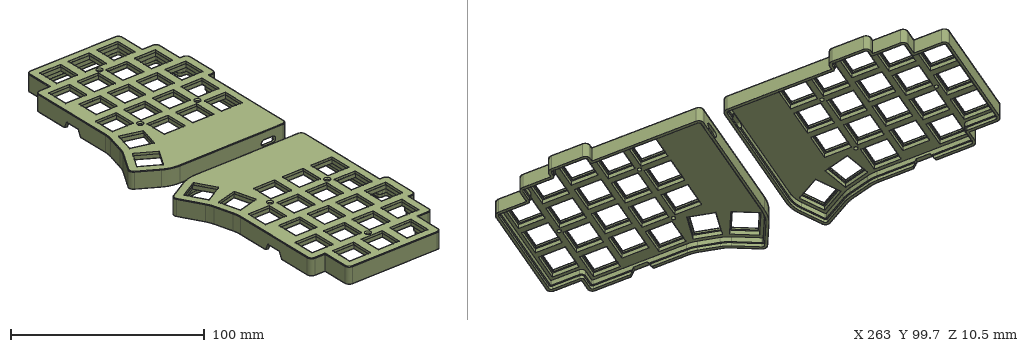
import cadquery as cq
import math

PAIR_WIDTH = 263.0
PAIR_DEPTH = 100.0
CASE_HEIGHT = 10.5

THREE_PITCH_SPAN = 57.0
PITCH = THREE_PITCH_SPAN / 3
KEY_OPENING = 14.0
COLUMN_ROWS = [3, 4, 4, 4, 3]
TALL_STAGGER = PITCH / 4
OUTER_STAGGER = PITCH / 2
EDGE_MARGIN = 2.45
KEY_TO_EDGE = PITCH / 2 + EDGE_MARGIN
INNER_KEY_TO_EDGE = 37.3

THUMB_TURN = -15
FIRST_THUMB_X = 21.3
FIRST_THUMB_Y = -2.5
SECOND_THUMB_X = 40.8
SECOND_THUMB_Y = -10.8

PLATE_THICKNESS = 4.5
CLIP_LIP = 1.5
CLIP_RELIEF = 0.8
WALL = 2.4
REBATE_WALL = 1.5
REBATE_DEPTH = 2.4
TOP_CHAMFER = 0.4
CORNER_RADIUS = 3.0
BEND_RADIUS = 20.0

SLOT_WIDTH = 9.5
SLOT_HEIGHT = 3.7
SLOT_BELOW_BACK = 12.4
SLOT_Z = 3.7

NOTCH_TOP_WIDTH = 9.5
NOTCH_BOTTOM_WIDTH = 13.2
NOTCH_NARROWING = 0.8
NOTCH_HEIGHT = 4.0
NOTCH_X = -82.0

SCREW_DIAMETER = 2.2
SCREW_HEAD_DIAMETER = 3.7
COUNTERSINK_ANGLE = 90
OUTER_SCREW_SHIFT = 0.5

COLUMN_X = [-PAIR_WIDTH / 2 + KEY_TO_EDGE + i * PITCH for i in range(len(COLUMN_ROWS))]
BACK_Y = PAIR_DEPTH / 2
TALL_COLUMN_Y = BACK_Y - KEY_TO_EDGE
MAIN_Y = TALL_COLUMN_Y - TALL_STAGGER
OUTER_Y = MAIN_Y - OUTER_STAGGER
COLUMN_TOP_Y = [OUTER_Y, MAIN_Y, TALL_COLUMN_Y, MAIN_Y, MAIN_Y]
FRONT_KEY_Y = MAIN_Y - (COLUMN_ROWS[3] - 1) * PITCH

FRONT_Y = FRONT_KEY_Y - KEY_TO_EDGE
MAIN_BACK_Y = MAIN_Y + KEY_TO_EDGE
INNER_X = COLUMN_X[4] + INNER_KEY_TO_EDGE

THUMB_KEYS = [
    (COLUMN_X[3] + FIRST_THUMB_X, FRONT_KEY_Y + FIRST_THUMB_Y, THUMB_TURN),
    (COLUMN_X[3] + SECOND_THUMB_X, FRONT_KEY_Y + SECOND_THUMB_Y, 2 * THUMB_TURN),
]


def grid_keys():
    keys = []
    for x, top_y, rows in zip(COLUMN_X, COLUMN_TOP_Y, COLUMN_ROWS):
        for row in range(rows):
            keys.append((x, top_y - row * PITCH, 0))
    return keys


def thumb_point(key, across, along):
    """Point given in the turned axes of a thumb key."""
    x, y, turn = key
    c, s = math.cos(math.radians(turn)), math.sin(math.radians(turn))
    return (x + across * c - along * s, y + across * s + along * c)


def front_line_crossing(key_a, key_b):
    """Where the front margins of two keys meet."""
    ax, ay = thumb_point(key_a, 0, -KEY_TO_EDGE)
    bx, by = thumb_point(key_b, 0, -KEY_TO_EDGE)
    slope_a = math.tan(math.radians(key_a[2]))
    slope_b = math.tan(math.radians(key_b[2]))
    x = (by - ay + slope_a * ax - slope_b * bx) / (slope_a - slope_b)
    return (x, ay + slope_a * (x - ax))


def outline_corners():
    """Corners of the left half as (point, radius); radius 0 stays sharp."""
    outer_x = -PAIR_WIDTH / 2
    second_x = COLUMN_X[1] - KEY_TO_EDGE
    tall_left = COLUMN_X[2] - KEY_TO_EDGE
    tall_right = COLUMN_X[2] + KEY_TO_EDGE
    outer_back = OUTER_Y + KEY_TO_EDGE
    outer_front = OUTER_Y - (COLUMN_ROWS[0] - 1) * PITCH - KEY_TO_EDGE
    front_key = (COLUMN_X[3], FRONT_KEY_Y, 0)
    first, second = THUMB_KEYS
    tip = thumb_point(second, KEY_TO_EDGE, -KEY_TO_EDGE)
    rise = (INNER_X - tip[0]) / math.tan(math.radians(-second[2]))
    return [
        ((outer_x, outer_back), CORNER_RADIUS),
        ((second_x, outer_back), 0),
        ((second_x, MAIN_BACK_Y), CORNER_RADIUS),
        ((tall_left, MAIN_BACK_Y), 0),
        ((tall_left, BACK_Y), CORNER_RADIUS),
        ((tall_right, BACK_Y), CORNER_RADIUS),
        ((tall_right, MAIN_BACK_Y), 0),
        ((INNER_X, MAIN_BACK_Y), CORNER_RADIUS),
        ((INNER_X, tip[1] + rise), BEND_RADIUS),
        (tip, CORNER_RADIUS),
        (front_line_crossing(first, second), BEND_RADIUS),
        (front_line_crossing(front_key, first), BEND_RADIUS),
        ((second_x, FRONT_Y), CORNER_RADIUS),
        ((second_x, outer_front), 0),
        ((outer_x, outer_front), CORNER_RADIUS),
    ]


def inset_block(outline, inset, height):
    """Solid on the base plane whose sides lie inside the outline by the inset."""
    return cq.Workplane("XY").add(outline).toPending().offset2D(-inset).extrude(height)


def shell():
    corners = outline_corners()
    block = cq.Workplane("XY").polyline([p for p, _ in corners]).close().extrude(CASE_HEIGHT)
    for (x, y), radius in corners:
        if radius > 0:
            near = cq.selectors.NearestToPointSelector((x, y, CASE_HEIGHT / 2))
            block = block.edges("|Z").edges(near).fillet(radius)
    outline = block.faces("<Z").wires().val()
    cavity = inset_block(outline, WALL, CASE_HEIGHT - PLATE_THICKNESS)
    rebate = inset_block(outline, REBATE_WALL, REBATE_DEPTH)
    return block.faces(">Z").chamfer(TOP_CHAMFER).cut(cavity).cut(rebate)


def key_cutter(key):
    """Square opening through the plate, wider below the clip lip."""
    x, y, turn = key
    relief_side = KEY_OPENING + 2 * CLIP_RELIEF
    opening = cq.Workplane("XY").rect(KEY_OPENING, KEY_OPENING).extrude(CASE_HEIGHT)
    relief = cq.Workplane("XY").rect(relief_side, relief_side).extrude(CASE_HEIGHT - CLIP_LIP)
    return opening.union(relief).rotate((0, 0, 0), (0, 0, 1), turn).translate((x, y, 0))


def cable_slot():
    """Cutter that reaches past both faces of the inner wall."""
    y = MAIN_BACK_Y - SLOT_BELOW_BACK
    return (
        cq.Workplane("YZ", origin=(INNER_X - 2 * WALL, y, SLOT_Z))
        .slot2D(SLOT_WIDTH, SLOT_HEIGHT).extrude(3 * WALL)
    )


def notch_profile(inset):
    """Corners of the notch with both slanted sides moved inwards by the inset."""
    bottom = NOTCH_BOTTOM_WIDTH / 2 - inset
    top = NOTCH_TOP_WIDTH / 2 - inset
    return [(-bottom, 0), (-top, NOTCH_HEIGHT), (top, NOTCH_HEIGHT), (bottom, 0)]


def front_notch():
    return (
        cq.Workplane("XZ", origin=(NOTCH_X, FRONT_Y, 0))
        .polyline(notch_profile(0)).close()
        .workplane(offset=-WALL)
        .polyline(notch_profile(NOTCH_NARROWING)).close()
        .loft(combine=True)
    )


def screw_places():
    """Centres midway between rows, in the gaps between columns."""
    inner_x = (COLUMN_X[3] + COLUMN_X[4]) / 2
    outer_x = (COLUMN_X[0] + COLUMN_X[1]) / 2 + OUTER_SCREW_SHIFT
    return [
        (inner_x, MAIN_Y - PITCH / 2),
        (inner_x, MAIN_Y - 5 * PITCH / 2),
        (outer_x, MAIN_Y - 3 * PITCH / 2),
    ]


def left_half():
    case = shell()
    for key in grid_keys() + THUMB_KEYS:
        case = case.cut(key_cutter(key))
    case = case.cut(cable_slot()).cut(front_notch())
    return (
        case.faces(">Z").workplane(origin=(0, 0, CASE_HEIGHT)).pushPoints(screw_places())
        .cskHole(SCREW_DIAMETER, SCREW_HEAD_DIAMETER, COUNTERSINK_ANGLE)
    )


left_case = left_half()
right_case = left_case.mirror("YZ")
result = cq.Compound.makeCompound([left_case.val(), right_case.val()])